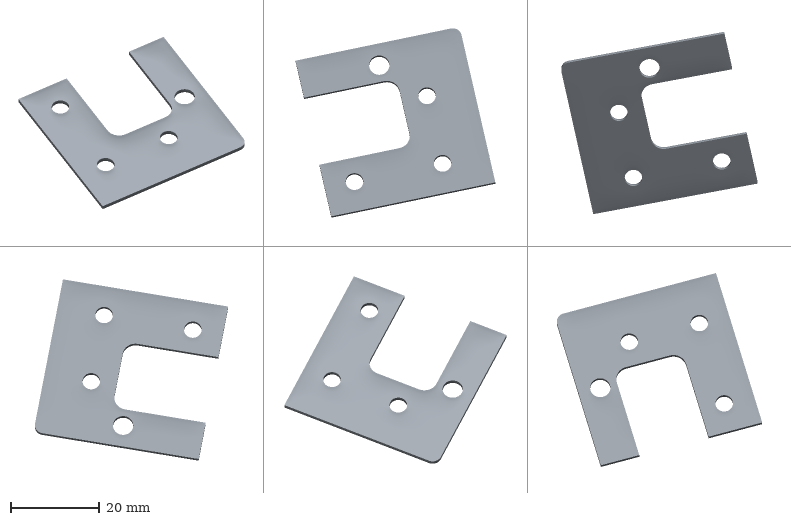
import cadquery as cq

side = 38
thickness = 1.0
corner_radius = 2.0

slot_depth = 21.5
slot_bottom = 12.6
slot_top = 28.95
slot_radius = 3.0

small_diameter = 4.0
large_diameter = 4.6
left_x = 6.88
right_x = 27.3
lower_y = 7.0
upper_y = 23.5
small_centers = [(left_x, lower_y), (right_x, lower_y), (right_x, upper_y)]
large_center = (18.28, 32.9)


def make_plate():
    """Square plate with its +X +Y corner rounded."""
    plate = cq.Workplane("XY").box(side, side, thickness, centered=False)
    return plate.edges("|Z and >X and >Y").fillet(corner_radius)


def make_slot():
    """Cutter for the open slot, rounded at its inner corners."""
    slot = cq.Workplane("XY").moveTo(0, slot_bottom)
    slot = slot.rect(slot_depth, slot_top - slot_bottom, centered=False)
    return slot.extrude(thickness).edges("|Z and >X").fillet(slot_radius)


def make_holes(centers, diameter):
    """Cutters for through holes of one diameter."""
    return cq.Workplane("XY").pushPoints(centers).circle(diameter / 2).extrude(thickness)


result = (
    make_plate()
    .cut(make_slot())
    .cut(make_holes(small_centers, small_diameter))
    .cut(make_holes([large_center], large_diameter))
)